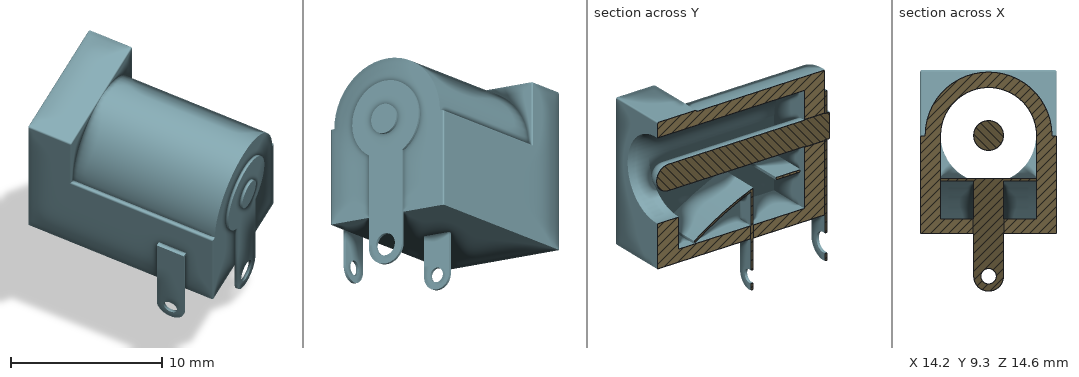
import cadquery as cq


housing_length = 13.7
housing_width = 9.0
housing_height = 10.8
front_block_length = 3.2
barrel_radius = 4.2
axis_height = 6.5
edge_radius = 0.1

bore_radius = 6.3 / 2
mouth_depth = 1.75
chamber_end = 12.0
chamber_floor = 1.0

pin_radius = 2.0 / 2
pin_overhang = 0.1

sheet = 0.2
leg_width = 2.0
leg_hole_diameter = 1.0

spring_leg_x = 7.64
spring_length_below = 3.8
spring_hole_drop = spring_length_below - leg_width / 2
spring_crest = 3.72
spring_tip_x = 3.0
spring_tip_z = 1.2
spring_middle_x = 5.25
spring_middle_z = 2.57

side_leg_x = 10.7
side_hole_drop = 2.28
side_top = 3.94
side_gap = 0.1

rear_disc_radius = 2.64
rear_leg_width = 2.64
rear_hole_drop = 2.07
rear_hole_diameter = 1.5

half_width = housing_width / 2
chamber_half_width = bore_radius
pin_rear = housing_length + 2 * sheet


def box(x_start, x_end, y_start, y_end, z_start, z_end):
    """Box between the given limits on each axis."""
    size = (x_end - x_start, y_end - y_start, z_end - z_start)
    return cq.Workplane("XY").box(*size, centered=False).translate((x_start, y_start, z_start))


def axial_cylinder(radius, x_start, x_end):
    """Cylinder on the socket axis."""
    plane = cq.Workplane("YZ", origin=(x_start, 0, axis_height))
    return plane.circle(radius).extrude(x_end - x_start)


def leg(plane, width, hole_drop, top, hole_diameter):
    """Flat leg with a round lower end and a concentric hole, one sheet thick along the plane normal."""
    strip = cq.Workplane(plane).center(0, (top - hole_drop) / 2).rect(width, top + hole_drop)
    strip = strip.extrude(sheet)
    rounded_end = cq.Workplane(plane).center(0, -hole_drop).circle(width / 2).extrude(sheet)
    hole = cq.Workplane(plane).center(0, -hole_drop).circle(hole_diameter / 2).extrude(sheet)
    return strip.union(rounded_end).cut(hole)


def make_pin():
    """Contact pin with a hemispherical tip."""
    dome_center = pin_radius - pin_overhang
    shank = axial_cylinder(pin_radius, dome_center, pin_rear)
    dome = cq.Workplane("XY").sphere(pin_radius).translate((dome_center, 0, axis_height))
    return shank.union(dome)


def make_rear_terminal(pin):
    """Disc around the rear end of the pin with a leg hanging from it."""
    disc = axial_cylinder(rear_disc_radius, housing_length, housing_length + sheet)
    plane = cq.Plane(origin=(housing_length, 0, 0), xDir=(0, 1, 0), normal=(1, 0, 0))
    rear_leg = leg(plane, rear_leg_width, rear_hole_drop, axis_height, rear_hole_diameter)
    return disc.union(rear_leg).cut(pin)


def make_side_terminal():
    """Leg outside the -Y wall, bent at its top into a tab that crosses the chamber."""
    outer_y = -half_width - side_gap - sheet
    plane = cq.Plane(origin=(side_leg_x, outer_y + sheet, 0), xDir=(1, 0, 0), normal=(0, -1, 0))
    side_leg = leg(plane, leg_width, side_hole_drop, side_top, leg_hole_diameter)
    tab = box(
        side_leg_x - leg_width / 2, side_leg_x + leg_width / 2,
        outer_y, chamber_half_width,
        side_top - sheet, side_top,
    )
    return side_leg.union(tab)


def make_spring_terminal():
    """Leg through the chamber floor whose top carries a wide curved tongue sloping to the front."""
    plane = cq.Plane(origin=(spring_leg_x, 0, 0), xDir=(0, 1, 0), normal=(1, 0, 0))
    spring_leg = leg(plane, leg_width, spring_hole_drop, spring_crest - sheet, leg_hole_diameter)
    leg_rear = spring_leg_x + sheet
    tongue = (
        cq.Workplane("XZ", origin=(0, chamber_half_width, 0))
        .moveTo(leg_rear, spring_crest)
        .threePointArc((spring_middle_x, spring_middle_z), (spring_tip_x, spring_tip_z))
        .lineTo(spring_tip_x, spring_tip_z - sheet)
        .threePointArc((spring_middle_x, spring_middle_z - sheet), (leg_rear, spring_crest - sheet))
        .close()
        .extrude(2 * chamber_half_width)
    )
    return spring_leg.union(tongue)


def make_chamber():
    """Hollow behind the mouth: half round above the axis and square below it."""
    upper = axial_cylinder(bore_radius, mouth_depth, chamber_end)
    lower = box(
        mouth_depth, chamber_end,
        -chamber_half_width, chamber_half_width,
        chamber_floor, axis_height,
    )
    return upper.union(lower)


def make_housing(inserts):
    """Front block, lower body and barrel, hollowed and opened for the inserted bodies."""
    front_block = box(0, front_block_length, -half_width, half_width, 0, housing_height)
    front_block = front_block.edges("|Z or >Z").fillet(edge_radius)
    lower_body = box(front_block_length / 2, housing_length, -half_width, half_width, 0, axis_height)
    lower_body = lower_body.edges("(|Z and >X) or (|X and >Z)").fillet(edge_radius)
    barrel = axial_cylinder(barrel_radius, front_block_length / 2, housing_length)
    mouth = axial_cylinder(bore_radius, 0, mouth_depth)
    housing = front_block.union(lower_body).union(barrel).cut(mouth).cut(make_chamber())
    for insert in inserts:
        housing = housing.cut(insert)
    return housing


pin = make_pin()
rear_terminal = make_rear_terminal(pin)
side_terminal = make_side_terminal()
spring_terminal = make_spring_terminal()
housing = make_housing([pin, side_terminal, spring_terminal])

result = cq.Compound.makeCompound([
    housing.val(),
    pin.val(),
    rear_terminal.val(),
    side_terminal.val(),
    spring_terminal.val(),
])